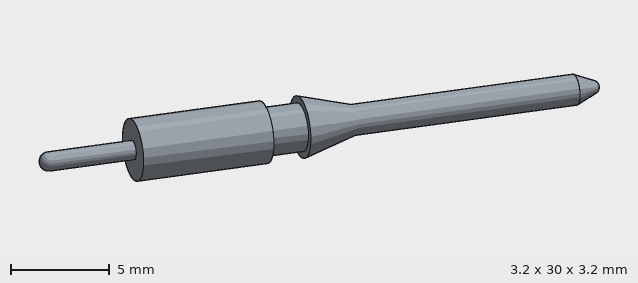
import cadquery as cq

total_length = 30.0
tail_radius = 1.0 / 2
body_start = 5.0
body_length = 7.0
neck_length = 1.98
collar_length = 2.82
tip_length = 1.3

body_radius = 3.2 / 2
neck_radius = 2.5 / 2
pin_radius = 1.6 / 2
tip_end_radius = 0.25
tip_rounding = 0.33

body_end = body_start + body_length
neck_end = body_end + neck_length
collar_end = neck_end + collar_length
tip_start = total_length - tip_length


def round_section(start, end, radius):
    """Cylinder on the Y axis between two stations."""
    return cq.Workplane("XZ", origin=(0, start, 0)).circle(radius).extrude(start - end)


def tapered_section(start, end, start_radius, end_radius):
    """Cone frustum on the Y axis between two stations."""
    profile = [(0, start), (start_radius, start), (end_radius, end), (0, end)]
    return cq.Workplane("XY").polyline(profile).close().revolve(360, (0, 0), (0, 1))


def tail():
    """Thin tail with a hemispherical end."""
    dome = cq.Workplane("XY").sphere(tail_radius).translate((0, tail_radius, 0))
    return round_section(tail_radius, body_start, tail_radius).union(dome)


def tip():
    """Tapered lead-in with a rounded nose."""
    taper = tapered_section(tip_start, total_length, pin_radius, tip_end_radius)
    return taper.faces(">Y").edges().fillet(tip_rounding)


body = round_section(body_start, body_end, body_radius)
neck = round_section(body_end, neck_end, neck_radius)
collar = tapered_section(neck_end, collar_end, body_radius, pin_radius)
pin = round_section(collar_end, tip_start, pin_radius)

result = tail().union(body).union(neck).union(collar).union(pin).union(tip())